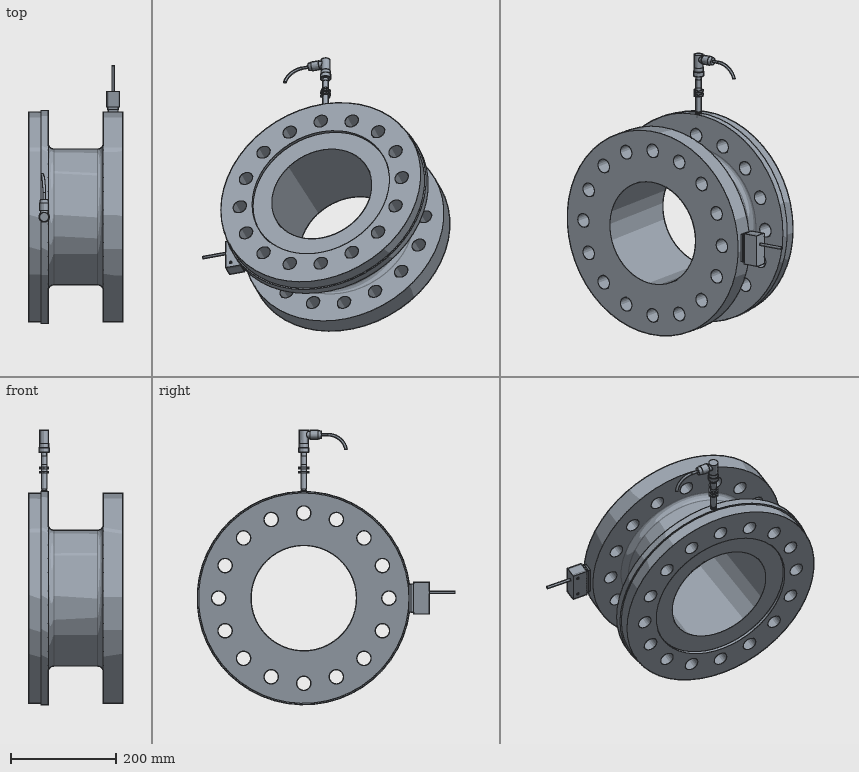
import cadquery as cq
import math


length = 180.0
flange_thickness = 37.5
flange_diameter = 400.0
band_diameter = 406.0
band_width = 14.0
tube_diameter = 259.0
bore_diameter = 200.0
neck_fillet = 10.5
recess_diameter = 275.0
recess_depth = 6.5
bolt_hole_diameter = 26.5
bolt_circle_diameter = 324.0
bolt_count = 16

flange_inner_x = length / 2 - flange_thickness
flange_center_x = length / 2 - flange_thickness / 2
band_left_x = -flange_inner_x - band_width

overall_height = 522.5
probe_x = -60.0
probe_diameter = 11.0
probe_socket_depth = 5.0
groove_diameter = 8.5
groove_bottom_z = 205.0
groove_top_z = 207.5
probe_top_z = 254.5
band_top_z = band_diameter / 2
probe_bottom_z = band_top_z - probe_socket_depth

nut_across_corners = 20.0
nut_thickness = 3.0
nut_bottoms_z = [238.0, 246.0]

spigot_top_z = 270.5
spigot_neck_diameter = 10.5
elbow_top_z = overall_height - band_diameter / 2
elbow_diameter = 17.0
sleeve_diameter = 18.5
sleeve_top_z = 294.0
collar_diameter = 20.0
collar_bottom_z = 277.0
collar_top_z = 287.0
collar_chamfer = 1.0
elbow_neck_diameter = 14.0
barrel_diameter = 17.0
barrel_start_y = 12.0
barrel_end_y = 26.5
cap_start_diameter = 16.5
cap_end_diameter = 14.0
cap_end_y = 33.5
branch_z = elbow_top_z - elbow_diameter / 2

cable_tail_diameter = 4.5
curved_cable_diameter = 5.0
curve_start_y = 46.5
curve_radius = 34.5
curve_angle = 79.0
curve_twist = 7.5

foot_width = 20.5
foot_height = 54.5
foot_bottom_y = 204.5
pad_inset = 0.5
pad_bottom_y = flange_diameter / 2
box_width = 25.0
box_height = 60.5
box_bottom_y = 209.0
box_top_y = 239.0
box_bevel_width = 2.5
box_bevel_height = 0.5
screw_hole_diameter = 5.0
screw_hole_depth = 2.5
screw_hole_y = 229.0
screw_hole_z = 20.0
box_cable_diameter = 5.0
box_cable_z = 11.0
overall_depth = 491.0
box_cable_end_y = overall_depth - band_diameter / 2


def rod_x(diameter, start_x, end_x):
    """Cylinder along the pipe axis."""
    return cq.Workplane("YZ", origin=(start_x, 0, 0)).circle(diameter / 2).extrude(end_x - start_x)


def rod_y(diameter, start_y, end_y, x, z):
    """Cylinder parallel to the Y axis."""
    return cq.Workplane("XZ", origin=(x, start_y, z)).circle(diameter / 2).extrude(start_y - end_y)


def rod_z(diameter, bottom_z, top_z):
    """Cylinder along the probe axis."""
    plane = cq.Workplane("XY", origin=(probe_x, 0, bottom_z))
    return plane.circle(diameter / 2).extrude(top_z - bottom_z)


def block(width, height, bottom_y, top_y):
    """Block centred on the right flange's width."""
    center = (flange_center_x, (bottom_y + top_y) / 2, 0)
    return cq.Workplane("XY", origin=center).box(width, top_y - bottom_y, height)


def make_flanged_pipe():
    """Half profile turned about the X axis, with a recess, bolt holes and a probe socket."""
    end_x = length / 2
    bore_r = bore_diameter / 2
    tube_r = tube_diameter / 2
    flange_r = flange_diameter / 2
    band_r = band_diameter / 2
    fillet_top_r = tube_r + neck_fillet
    tube_end_x = flange_inner_x - neck_fillet
    fillet_mid = neck_fillet * (1 - math.sqrt(0.5))
    fillet_mid_x = flange_inner_x - fillet_mid
    fillet_mid_r = tube_r + fillet_mid

    profile = (
        cq.Workplane("XY")
        .moveTo(-end_x, bore_r)
        .lineTo(-end_x, flange_r)
        .lineTo(band_left_x, flange_r)
        .lineTo(band_left_x, band_r)
        .lineTo(-flange_inner_x, band_r)
        .lineTo(-flange_inner_x, fillet_top_r)
        .threePointArc((-fillet_mid_x, fillet_mid_r), (-tube_end_x, tube_r))
        .lineTo(tube_end_x, tube_r)
        .threePointArc((fillet_mid_x, fillet_mid_r), (flange_inner_x, fillet_top_r))
        .lineTo(flange_inner_x, flange_r)
        .lineTo(end_x, flange_r)
        .lineTo(end_x, bore_r)
        .close()
    )
    pipe = profile.revolve(360, (0, 0, 0), (1, 0, 0))
    pipe = pipe.cut(rod_x(recess_diameter, -end_x, -end_x + recess_depth))
    bolt_holes = (
        cq.Workplane("YZ", origin=(-end_x, 0, 0))
        .polarArray(bolt_circle_diameter / 2, 0, 360, bolt_count)
        .circle(bolt_hole_diameter / 2)
        .extrude(length)
    )
    pipe = pipe.cut(bolt_holes)
    return pipe.cut(rod_z(probe_diameter, probe_bottom_z, band_top_z))


def make_probe():
    """Round stem from the band socket up to the elbow spigot, grooved just above the band."""
    probe = rod_z(probe_diameter, probe_bottom_z, groove_bottom_z)
    probe = probe.union(rod_z(groove_diameter, groove_bottom_z, groove_top_z))
    return probe.union(rod_z(probe_diameter, groove_top_z, probe_top_z))


def make_nut(bottom_z):
    """Thin hexagon nut around the probe, with two corners along Y."""
    return (
        cq.Workplane("XY", origin=(probe_x, 0, bottom_z))
        .transformed(rotate=(0, 0, 90))
        .polygon(6, nut_across_corners)
        .circle(probe_diameter / 2)
        .extrude(nut_thickness)
    )


def make_elbow():
    """Plug standing on the probe: spigot, collar, sleeve, upright and a side branch toward +Y."""
    elbow = rod_z(probe_diameter, probe_top_z, spigot_top_z)
    elbow = elbow.union(rod_z(spigot_neck_diameter, spigot_top_z, collar_bottom_z))
    elbow = elbow.union(rod_z(sleeve_diameter, collar_top_z, sleeve_top_z))
    elbow = elbow.union(rod_z(elbow_diameter, sleeve_top_z, elbow_top_z))
    collar = rod_z(collar_diameter, collar_bottom_z, collar_top_z).edges().chamfer(collar_chamfer)
    elbow = elbow.union(collar)
    elbow = elbow.union(rod_y(elbow_neck_diameter, 0, barrel_start_y, probe_x, branch_z))
    elbow = elbow.union(rod_y(barrel_diameter, barrel_start_y, barrel_end_y, probe_x, branch_z))
    cap = (
        cq.Workplane("XZ", origin=(probe_x, barrel_end_y, branch_z))
        .circle(cap_start_diameter / 2)
        .workplane(offset=barrel_end_y - cap_end_y)
        .circle(cap_end_diameter / 2)
        .loft()
    )
    return elbow.union(cap)


def make_curved_cable():
    """Straight tail, then an arc that bends down and slightly toward -X."""
    tail = rod_y(cable_tail_diameter, cap_end_y, curve_start_y, probe_x, branch_z)
    start = cq.Vector(probe_x, curve_start_y, branch_z)
    bend = (
        cq.Workplane("XZ", origin=start.toTuple())
        .circle(curved_cable_diameter / 2)
        .revolve(curve_angle, (0, -curve_radius, 0), (-1, -curve_radius, 0))
    )
    bend = bend.rotate(start.toTuple(), (start + cq.Vector(0, 5, 0)).toTuple(), curve_twist)
    return tail.union(bend)


def make_junction_box():
    """Bevelled box on a narrower foot and pad that rest on the flange rim, with two screw holes."""
    half_width = box_width / 2
    half_height = box_height / 2
    top_half_width = half_width - box_bevel_width
    side_half_height = half_height - box_bevel_height
    box = (
        cq.Workplane("XZ", origin=(flange_center_x, box_bottom_y, 0))
        .moveTo(-half_width, -side_half_height)
        .lineTo(-half_width, side_half_height)
        .lineTo(-top_half_width, half_height)
        .lineTo(top_half_width, half_height)
        .lineTo(half_width, side_half_height)
        .lineTo(half_width, -side_half_height)
        .lineTo(top_half_width, -half_height)
        .lineTo(-top_half_width, -half_height)
        .close()
        .extrude(box_bottom_y - box_top_y)
    )
    foot = block(foot_width, foot_height, foot_bottom_y, box_bottom_y)
    pad_width = foot_width - 2 * pad_inset
    pad_height = foot_height - 2 * pad_inset
    pad = block(pad_width, pad_height, pad_bottom_y, foot_bottom_y)
    screw_holes = (
        cq.Workplane("YZ", origin=(flange_center_x - half_width, screw_hole_y, 0))
        .pushPoints([(0, -screw_hole_z), (0, screw_hole_z)])
        .circle(screw_hole_diameter / 2)
        .extrude(screw_hole_depth)
    )
    return box.union(foot).union(pad).cut(screw_holes)


flanged_pipe = make_flanged_pipe()
probe = make_probe()
nuts = [make_nut(bottom_z) for bottom_z in nut_bottoms_z]
elbow = make_elbow()
curved_cable = make_curved_cable()
junction_box = make_junction_box()
box_cable = rod_y(box_cable_diameter, box_top_y, box_cable_end_y, flange_center_x, box_cable_z)

result = cq.Compound.makeCompound(
    [
        flanged_pipe.val(),
        probe.val(),
        *[nut.val() for nut in nuts],
        elbow.val(),
        curved_cable.val(),
        junction_box.val(),
        box_cable.val(),
    ]
)